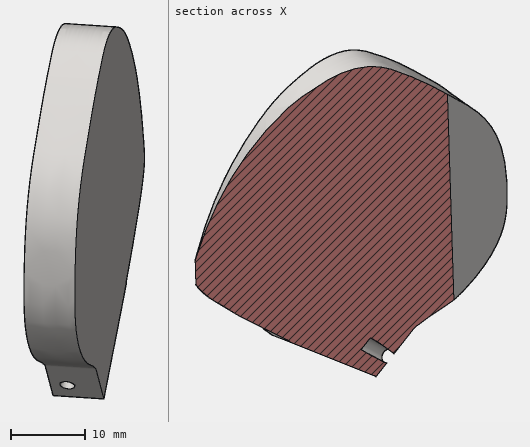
import cadquery as cq
import math

thickness = 7.0
yaw = 10.4
lean = 0.3
hole_diameter = 2.0
hole_depth = 5.1
hole_from_tip = 3.2
hole_from_face = 2.4

tip = (0, 0)
neck = (5.7, 6.1)
neck_radius = 1.55
seam = (5.3, 46.95)
seam_direction = (-0.8, 0.6)

bulge_points = [
    (10.55, 8.3),
    (15.95, 11.55),
    (19.95, 16.85),
    (20.7, 22.6),
    (19.25, 31.6),
    (16.2, 36.85),
    (11.85, 41.3),
]
bulge_start_direction = (0.85, 0.52)

crown_points = [
    (-1.0, 50.65),
    (-5.25, 50.85),
    (-9.0, 49.8),
    (-13.1, 47.75),
    (-16.6, 44.95),
    (-21.45, 39.15),
    (-25.5, 31.5),
    (-27.15, 26.85),
    (-27.45, 25.25),
    (-26.55, 22.85),
    (-22.65, 18.35),
    (-18.2, 14.3),
    (-12.9, 9.8),
]
crown_end_direction = (0.8, -0.6)

yaw_angle = math.radians(yaw)
lean_angle = math.radians(lean)
sideways = cq.Vector(math.sin(yaw_angle), -math.cos(yaw_angle), 0)
outward = cq.Vector(
    -math.cos(yaw_angle) * math.cos(lean_angle),
    -math.sin(yaw_angle) * math.cos(lean_angle),
    math.sin(lean_angle),
)
face_plane = cq.Plane(origin=(0, 0, 0), xDir=sideways, normal=outward)


def make_plate():
    neck_middle = face_plane.toWorldCoords((*neck, -thickness / 2))
    return (
        cq.Workplane(face_plane)
        .moveTo(*tip)
        .lineTo(*neck)
        .spline(bulge_points + [seam], tangents=[bulge_start_direction, seam_direction], includeCurrent=True)
        .spline(crown_points + [tip], tangents=[seam_direction, crown_end_direction], includeCurrent=True)
        .close()
        .extrude(-thickness)
        .edges(cq.selectors.NearestToPointSelector(neck_middle.toTuple()))
        .fillet(neck_radius)
    )


def make_end_hole():
    """Blind hole square to the flat wall between the tip and the neck."""
    wall_length = math.dist(tip, neck)
    along_x = (neck[0] - tip[0]) / wall_length
    along_y = (neck[1] - tip[1]) / wall_length
    mouth = face_plane.toWorldCoords(
        (along_x * hole_from_tip, along_y * hole_from_tip, -hole_from_face)
    )
    inward = face_plane.xDir * -along_y + face_plane.yDir * along_x
    return cq.Workplane(cq.Solid.makeCylinder(hole_diameter / 2, hole_depth, mouth, inward))


result = make_plate().cut(make_end_hole())